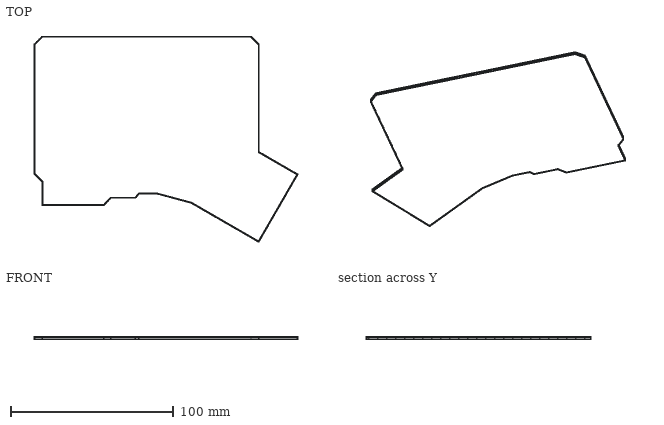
import cadquery as cq
import math

length = 162.2
width = 126.5
thickness = 1.6

main_length = 138.3
corner_cut = 4.9
left_edge_end_y = 41.8

arm_angle = math.radians(30)
arm_tip_y = 41.5
arm_low_x = length - arm_tip_y * math.tan(arm_angle)
arm_root_y = arm_tip_y + (length - main_length) * math.tan(arm_angle)

foot_y = 22.5
foot_end_x = 42.8
step_rise = 4.5
step_start_x = 47.0
step_end_x = 62.3
step_y = foot_y + step_rise
flat_rise = 2.6
flat_start_x = 64.4
flat_y = step_y + flat_rise
bend_angle = arm_angle / 2
bend_end_x = 96.7
bend_end_y = (arm_low_x - bend_end_x) * math.tan(arm_angle)
bend_start_x = bend_end_x - (flat_y - bend_end_y) / math.tan(bend_angle)

outline = [
    (0, width - corner_cut),
    (corner_cut, width),
    (main_length - corner_cut, width),
    (main_length, width - corner_cut),
    (main_length, arm_root_y),
    (length, arm_tip_y),
    (arm_low_x, 0),
    (bend_end_x, bend_end_y),
    (bend_start_x, flat_y),
    (flat_start_x, flat_y),
    (step_end_x, step_y),
    (step_start_x, step_y),
    (foot_end_x, foot_y),
    (corner_cut, foot_y),
    (corner_cut, left_edge_end_y - corner_cut),
    (0, left_edge_end_y),
]

result = cq.Workplane("XY").polyline(outline).close().extrude(thickness)